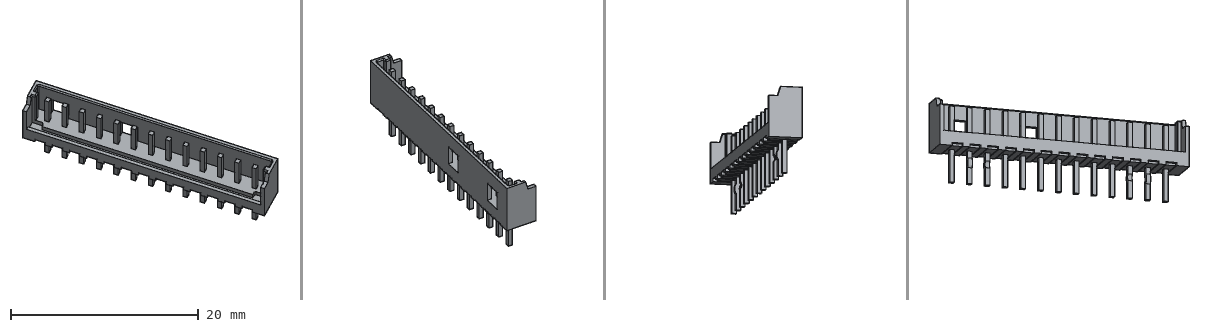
import cadquery as cq
import math


length = 28.0
depth = 3.65
height = 5.5
end_wall = 0.45
back_wall = 0.5
floor_z = 1.6
corner_cut = 0.1
lead_in = 0.15

rib_front = 1.55
rib_back = 2.3
rib_reach = 0.42

step_z = 4.48
step_front = 0.98
step_slope_end = 1.3

sill_depth = 0.4
groove_back = 1.0
groove_end_length = 1.35
groove_end_cut = 0.17
groove_depth = 0.53

pin_count = 13
pitch = length / (pin_count + 1)
pin_size = 0.5
pin_y = depth - 1.5
pin_top = 4.9
pin_bottom = -3.5
kink_z = -1.2
kink_offset = 0.155
kink_outer_radius = 1.05
front_kinks = (1, 11)
back_kinks = (2, 10)

window_top = 3.78
window_gaps = (0, 4)
slot_width = 1.2
slot_height = 0.08
notch_height = 0.35
notch_depth = 0.42

half_length = length / 2
cavity_half = half_length - end_wall


def block(x_range, y_range, z_range):
    """Axis-aligned box spanning the given (low, high) ranges."""
    sizes = [high - low for low, high in (x_range, y_range, z_range)]
    corner = (x_range[0], y_range[0], z_range[0])
    return cq.Workplane("XY").box(*sizes, centered=False).translate(corner)


def pin_x(number):
    return (number - (pin_count - 1) / 2) * pitch


def mirrored_outline(right_half, z):
    """Closed wire from the right half of an outline that is symmetric about X = 0."""
    left_half = [(-x, y) for x, y in reversed(right_half)]
    return cq.Workplane("XY").workplane(offset=z).polyline(right_half + left_half).close()


def cavity():
    rib_tip = cavity_half - rib_reach
    cavity_back = depth - back_wall
    outline = [
        (cavity_half, 0),
        (cavity_half, rib_front),
        (rib_tip + corner_cut, rib_front),
        (rib_tip, rib_front + corner_cut),
        (rib_tip, rib_back - corner_cut),
        (rib_tip + corner_cut, rib_back),
        (cavity_half, rib_back),
        (cavity_half, cavity_back - corner_cut),
        (cavity_half - corner_cut, cavity_back),
    ]
    return mirrored_outline(outline, floor_z).extrude(height - floor_z)


def groove():
    inner_end = cavity_half - groove_end_length
    outline = [
        (cavity_half, sill_depth),
        (cavity_half, rib_front),
        (inner_end + groove_end_cut, rib_front),
        (inner_end, rib_front - groove_end_cut),
        (inner_end, groove_back),
    ]
    return mirrored_outline(outline, floor_z - groove_depth).extrude(groove_depth)


def end_wall_step():
    return (
        cq.Workplane("YZ", origin=(-half_length, 0, 0))
        .polyline([(0, step_z), (step_front, step_z), (step_slope_end, height), (0, height)])
        .close()
        .extrude(length)
    )


def housing():
    body = block((-half_length, half_length), (0, depth), (0, height)).cut(cavity())
    mouth_edges = cq.selectors.BoxSelector(
        (-half_length + end_wall / 2, -depth, height - lead_in),
        (half_length - end_wall / 2, depth - back_wall / 2, height + lead_in),
    )
    body = body.faces(">Z").edges(mouth_edges).chamfer(lead_in)
    body = body.cut(end_wall_step()).cut(groove())
    for gap in window_gaps:
        window_range = (pin_x(gap), pin_x(gap + 1))
        body = body.cut(block(window_range, (depth - back_wall, depth), (floor_z, window_top)))
    for number in range(pin_count):
        slot_range = (pin_x(number) - slot_width / 2, pin_x(number) + slot_width / 2)
        body = body.cut(block(slot_range, (0, depth), (0, slot_height)))
        body = body.cut(block(slot_range, (0, notch_depth), (0, notch_height)))
    return body


def straight_pin():
    half = pin_size / 2
    return block((-half, half), (-half, half), (pin_bottom, pin_top))


def kinked_pin():
    """Pin with a short arched kink toward -Y, bounded by two concentric arcs."""
    half = pin_size / 2
    inner_radius = kink_outer_radius - pin_size
    outer_half = math.sqrt(kink_outer_radius**2 - (kink_outer_radius - kink_offset) ** 2)
    inner_half = math.sqrt(inner_radius**2 - (inner_radius - kink_offset) ** 2)
    return (
        cq.Workplane("YZ", origin=(-half, 0, 0))
        .moveTo(-half, pin_bottom)
        .lineTo(-half, kink_z - outer_half)
        .threePointArc((-half - kink_offset, kink_z), (-half, kink_z + outer_half))
        .lineTo(-half, pin_top)
        .lineTo(half, pin_top)
        .lineTo(half, kink_z + inner_half)
        .threePointArc((half - kink_offset, kink_z), (half, kink_z - inner_half))
        .lineTo(half, pin_bottom)
        .close()
        .extrude(pin_size)
    )


def pin(number):
    if number in front_kinks:
        shape = kinked_pin()
    elif number in back_kinks:
        shape = kinked_pin().rotate((0, 0, 0), (0, 0, 1), 180)
    else:
        shape = straight_pin()
    return shape.translate((pin_x(number), pin_y, 0))


result = housing()
for number in range(pin_count):
    result = result.union(pin(number))